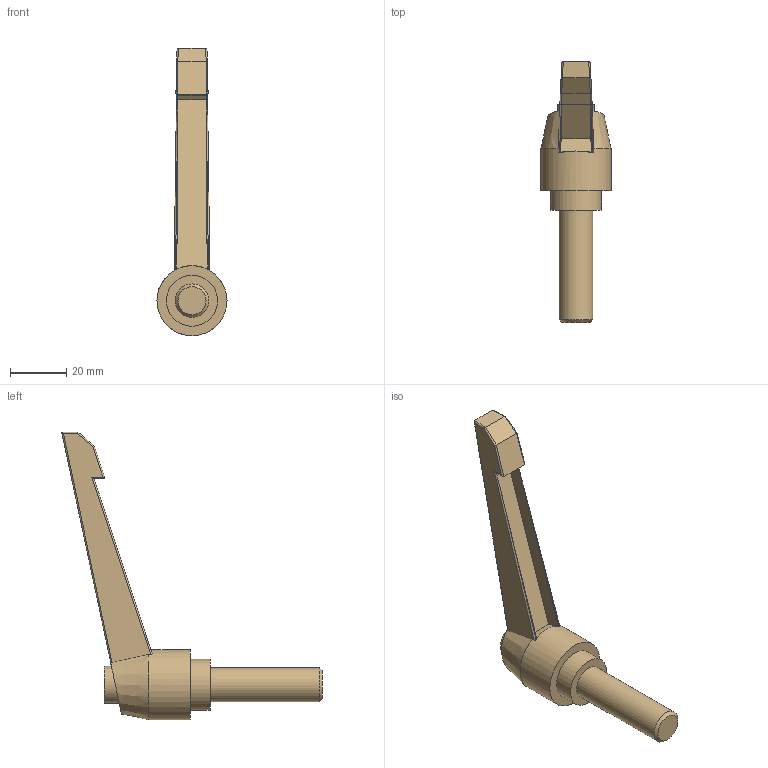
import cadquery as cq
import math


stud_diameter = 12.0
stud_length = 40.0
stud_chamfer = 1.0
collar_diameter = 18.2
collar_length = 7.0
hub_diameter = 25.0
hub_straight_length = 15.0
plug_diameter = 13.2
plug_end_y = 37.8

back_angle = 12.0
front_angle = 18.4
total_height = 102.52
total_depth = 92.9
tip_flat = 5.8
corner_drop = 4.7
hook_drop = 16.5
hook_depth = 3.95
corner_run = 5.7
root_z = 5.0
tip_half_width = 5.03
side_draft = 2.9
length_taper = 0.41
edge_fillet = 0.5

pocket_depth = 5.0
pocket_top_gap = 0.3
pocket_bottom_z = 11.3
pocket_top_half_width = 5.1
pocket_bottom_half_width = 5.4

hub_radius = hub_diameter / 2
cone_start_y = collar_length + hub_straight_length
tip_y = total_depth - stud_length
tip_z = total_height - hub_radius
back_slope = math.tan(math.radians(back_angle))
front_slope = math.tan(math.radians(front_angle))
hook_z = tip_z - hook_drop
corner_y = tip_y - tip_flat - corner_run
corner_z = tip_z - corner_drop
hook_tip_y = corner_y - (corner_z - hook_z) * front_slope
front_top_y = hook_tip_y + hook_depth


def back_y(z):
    """Y of the leaning back plane at height z."""
    return tip_y - (tip_z - z) * back_slope


def front_y(z):
    """Y of the long front face of the lever at height z."""
    return front_top_y - (hook_z - z) * front_slope


def y_cylinder(diameter, start_y, end_y):
    """Round bar about the Y axis from start_y to end_y."""
    return cq.Workplane("XZ", origin=(0, end_y, 0)).circle(diameter / 2).extrude(end_y - start_y)


def make_stud():
    """Stud with a chamfered free end."""
    stud = y_cylinder(stud_diameter, -stud_length, 0)
    return stud.faces("<Y").chamfer(stud_chamfer)


def make_hub():
    """Cylinder and cone, sliced at the rear by the back plane of the lever."""
    cone_end_y = back_y(hub_radius)
    cone_end_radius = hub_radius - (cone_end_y - cone_start_y) * back_slope
    turned = (
        cq.Workplane("XY")
        .moveTo(0, collar_length)
        .lineTo(hub_radius, collar_length)
        .lineTo(hub_radius, cone_start_y)
        .lineTo(cone_end_radius, cone_end_y)
        .lineTo(0, cone_end_y)
        .close()
        .revolve(360, (0, 0, 0), (0, 1, 0))
    )
    ahead_of_back_plane = (
        cq.Workplane("YZ")
        .polyline([
            (0, -hub_radius),
            (back_y(-hub_radius), -hub_radius),
            (back_y(hub_radius), hub_radius),
            (0, hub_radius),
        ])
        .close()
        .extrude(hub_radius, both=True)
    )
    return turned.intersect(ahead_of_back_plane)


def wedge_section(back_half_width):
    """Corners of a lever section: narrow at the back plane, wider toward the front."""
    wedge_depth = hub_diameter
    front_half_width = back_half_width + wedge_depth * math.tan(math.radians(side_draft))
    return [
        (-back_half_width, 0),
        (back_half_width, 0),
        (front_half_width, wedge_depth),
        (-front_half_width, wedge_depth),
    ]


def make_lever_blank():
    """Side outline of the lever, narrowed to a wedge section and rounded along its side edges."""
    outline = (
        cq.Workplane("YZ")
        .polyline([
            (back_y(root_z), root_z),
            (tip_y, tip_z),
            (tip_y - tip_flat, tip_z),
            (corner_y, corner_z),
            (hook_tip_y, hook_z),
            (front_top_y, hook_z),
            (front_y(root_z), root_z),
        ])
        .close()
        .extrude(hub_radius, both=True)
    )
    lean = math.radians(back_angle)
    down_the_back = cq.Plane(
        origin=(0, tip_y, tip_z),
        xDir=(1, 0, 0),
        normal=(0, -math.sin(lean), -math.cos(lean)),
    )
    hub_end_half_width = tip_half_width + total_height * math.tan(math.radians(length_taper))
    wedge = (
        cq.Workplane(down_the_back)
        .polyline(wedge_section(tip_half_width))
        .close()
        .workplane(offset=total_height)
        .polyline(wedge_section(hub_end_half_width))
        .close()
        .loft(ruled=True)
    )
    blank = outline.intersect(wedge)
    side_faces = blank.faces("<X or >X")
    return side_faces.edges().fillet(edge_fillet)


def make_pocket():
    """Tapered pocket, square to the front face, from under the hook down to the hub."""
    lean = math.radians(front_angle)
    pocket_length = (hook_z - pocket_top_gap - pocket_bottom_z) / math.cos(lean)
    front_plane = cq.Plane(
        origin=(0, front_y(pocket_bottom_z), pocket_bottom_z),
        xDir=(1, 0, 0),
        normal=(0, -math.cos(lean), math.sin(lean)),
    )
    return (
        cq.Workplane(front_plane)
        .polyline([
            (-pocket_bottom_half_width, 0),
            (pocket_bottom_half_width, 0),
            (pocket_top_half_width, pocket_length),
            (-pocket_top_half_width, pocket_length),
        ])
        .close()
        .extrude(-pocket_depth)
    )


collar = y_cylinder(collar_diameter, 0, collar_length)
plug = y_cylinder(plug_diameter, collar_length, plug_end_y)

result = (
    make_hub()
    .union(make_lever_blank())
    .cut(make_pocket())
    .union(collar)
    .union(plug)
    .union(make_stud())
)